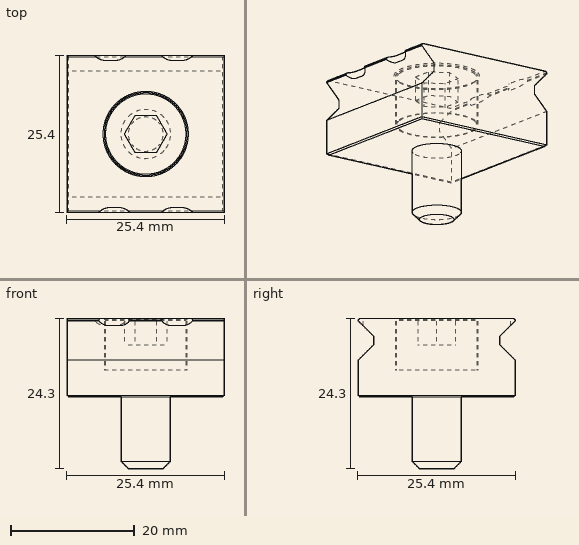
import cadquery as cq
import math

BLOCK_SIDE = 25.4
BLOCK_HEIGHT = 12.7
BASE_CHAMFER = 0.25
LIP_CHAMFER = 0.25
LIP_LAND = 0.15

GROOVE_DEPTH = 2.5
GROOVE_FLOOR_HEIGHT = 1.37
GROOVE_CORNER_RADIUS = 0.15

SCALLOP_DEPTH = 0.8
SCALLOP_FLAT = 1.62
SCALLOP_RADIUS = 2.2
FRONT_SCALLOPS_X = (-5.08, 5.08)
BACK_SCALLOPS_X = (-5.72, 5.08)

THREAD_DIAMETER = 8.0
THREAD_LENGTH = 16.0
TIP_CHAMFER = 1.2
HEAD_DIAMETER = 13.0
HEAD_HEIGHT = 8.0
HEAD_RECESS = 0.33
SOCKET_ACROSS_FLATS = 6.0
SOCKET_DEPTH = 4.0

BORE_DIAMETER = 13.4
BORE_CHAMFER = 0.2

HALF_SIDE = BLOCK_SIDE / 2
SEAT_Z = -(HEAD_RECESS + HEAD_HEIGHT)
GROOVE_TOP_Z = -(LIP_CHAMFER + LIP_LAND)
GROOVE_FLOOR_TOP_Z = GROOVE_TOP_Z - GROOVE_DEPTH
GROOVE_FLOOR_BOTTOM_Z = GROOVE_FLOOR_TOP_Z - GROOVE_FLOOR_HEIGHT
GROOVE_BOTTOM_Z = GROOVE_FLOOR_BOTTOM_Z - GROOVE_DEPTH


def make_block():
    """Square block with a groove on each Y side and chamfered lip and base edges."""
    floor_y = HALF_SIDE - GROOVE_DEPTH
    half_profile = [
        (HALF_SIDE - LIP_CHAMFER, 0),
        (HALF_SIDE, -LIP_CHAMFER),
        (HALF_SIDE, GROOVE_TOP_Z),
        (floor_y, GROOVE_FLOOR_TOP_Z),
        (floor_y, GROOVE_FLOOR_BOTTOM_Z),
        (HALF_SIDE, GROOVE_BOTTOM_Z),
        (HALF_SIDE, -BLOCK_HEIGHT),
    ]
    mirrored_half = [(-y, z) for y, z in reversed(half_profile)]
    block = (
        cq.Workplane("YZ")
        .polyline(half_profile + mirrored_half)
        .close()
        .extrude(HALF_SIDE, both=True)
    )
    block = block.faces("<Z").chamfer(BASE_CHAMFER)
    return fillet_groove_corners(block, floor_y)


def fillet_groove_corners(block, floor_y):
    """Round the inner corners where each groove floor meets its flanks."""
    for side in (-1, 1):
        for corner_z in (GROOVE_FLOOR_TOP_Z, GROOVE_FLOOR_BOTTOM_Z):
            corner = cq.selectors.NearestToPointSelector((0, side * floor_y, corner_z))
            block = block.edges(corner).fillet(GROOVE_CORNER_RADIUS)
    return block


def make_scallop(center_x, side):
    """Flat-bottomed notch with arc ends; side is -1 for the -Y lip and +1 for the +Y lip."""
    half_flat = SCALLOP_FLAT / 2
    rise_angle = math.acos(1 - SCALLOP_DEPTH / SCALLOP_RADIUS)

    def arc_point(angle, direction):
        x = center_x + direction * (half_flat + SCALLOP_RADIUS * math.sin(angle))
        depth = SCALLOP_DEPTH - SCALLOP_RADIUS * (1 - math.cos(angle))
        return (x, side * (HALF_SIDE - depth))

    return (
        cq.Workplane("XY")
        .moveTo(*arc_point(rise_angle, -1))
        .threePointArc(arc_point(rise_angle / 2, -1), arc_point(0, -1))
        .lineTo(*arc_point(0, 1))
        .threePointArc(arc_point(rise_angle / 2, 1), arc_point(rise_angle, 1))
        .close()
        .extrude(GROOVE_FLOOR_TOP_Z)
    )


def make_counterbore():
    """Space for the screw head, with a chamfered mouth."""
    bore_radius = BORE_DIAMETER / 2
    return (
        cq.Workplane("XZ")
        .polyline([
            (0, 0),
            (bore_radius + BORE_CHAMFER, 0),
            (bore_radius, -BORE_CHAMFER),
            (bore_radius, SEAT_Z),
            (0, SEAT_Z),
        ])
        .close()
        .revolve(360, (0, 0, 0), (0, 1, 0))
    )


def make_screw():
    """Cap screw with a hexagon socket whose corners point along X."""
    head = cq.Workplane("XY", origin=(0, 0, SEAT_Z)).circle(HEAD_DIAMETER / 2).extrude(HEAD_HEIGHT)
    shank = (
        cq.Workplane("XY", origin=(0, 0, SEAT_Z))
        .circle(THREAD_DIAMETER / 2)
        .extrude(-THREAD_LENGTH)
        .faces("<Z")
        .chamfer(TIP_CHAMFER)
    )
    socket_across_corners = SOCKET_ACROSS_FLATS / math.cos(math.pi / 6)
    socket = (
        cq.Workplane("XY", origin=(0, 0, -HEAD_RECESS))
        .polygon(6, socket_across_corners)
        .extrude(-SOCKET_DEPTH)
    )
    return head.union(shank).cut(socket)


block = make_block().cut(make_counterbore())
for scallop_x in FRONT_SCALLOPS_X:
    block = block.cut(make_scallop(scallop_x, -1))
for scallop_x in BACK_SCALLOPS_X:
    block = block.cut(make_scallop(scallop_x, 1))

result = block.union(make_screw())